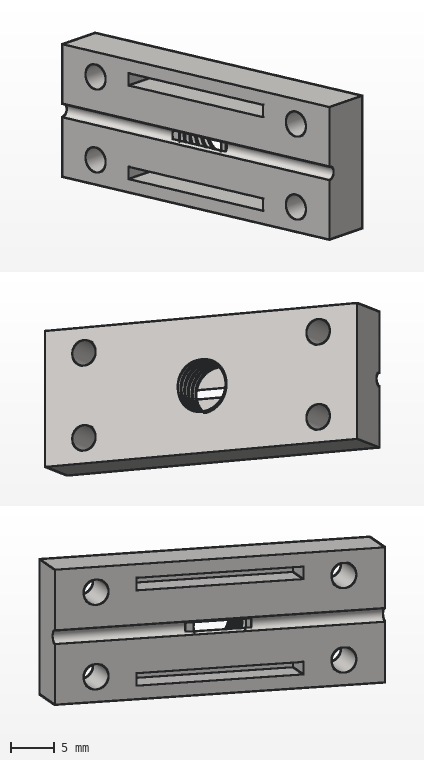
import cadquery as cq

length = 40.0
thickness = 6.0
height = 16.0
front_y = -thickness / 2
back_y = thickness / 2

hole_diameter = 3.0
hole_spacing_x = 30.0
hole_spacing_z = 10.0

slot_length = 20.15
slot_width = 1.5
slot_depth = 4.0
slot_center_z = 5.65

channel_radius = 0.8

land_diameter = 8.0
land_y = front_y + 0.6

minor_diameter = 6.0
major_diameter = 6.7
pitch = 1.0
thread_mouth = 0.7
overlap = 0.05


def cylinder_along_y(diameter, start_y, end_y):
    """Round bar on the Y axis between two Y positions."""
    return cq.Workplane("XZ", origin=(0, start_y, 0)).circle(diameter / 2).extrude(start_y - end_y)


def make_block():
    """Plain block with its four through holes and two blind slots."""
    block = cq.Workplane("XY").box(length, thickness, height)
    block = (
        block.faces("<Y").workplane(origin=(0, front_y, 0))
        .rect(hole_spacing_x, hole_spacing_z, forConstruction=True)
        .vertices()
        .hole(hole_diameter)
    )
    for side in (-1, 1):
        slot = (
            cq.Workplane("XY")
            .box(slot_length, slot_depth, slot_width)
            .translate((0, front_y + slot_depth / 2, side * slot_center_z))
        )
        block = block.cut(slot)
    return block


def make_channel():
    """Full-length half-round channel, with the circular land left standing in it."""
    channel = (
        cq.Workplane("YZ", origin=(-length / 2, front_y, 0))
        .circle(channel_radius)
        .extrude(length)
    )
    return channel.cut(cylinder_along_y(land_diameter, land_y, back_y))


def make_thread():
    """V groove of the bore, its root meeting the land on the +X side."""
    turns_outside = 1
    inner_radius = minor_diameter / 2 - overlap
    thread_depth = (major_diameter - minor_diameter) / 2
    half_width = thread_mouth / 2 * (1 + overlap / thread_depth)
    run_length = back_y - land_y + 2 * turns_outside * pitch
    helix = cq.Wire.makeHelix(pitch, run_length, minor_diameter / 2)
    groove = (
        cq.Workplane("XZ")
        .polyline([
            (inner_radius, -half_width),
            (major_diameter / 2, 0),
            (inner_radius, half_width),
        ])
        .close()
        .sweep(cq.Workplane(helix), isFrenet=True)
        .rotate((0, 0, 0), (1, 0, 0), -90)
        .translate((0, land_y - turns_outside * pitch, 0))
    )
    threaded_zone = cq.Workplane("XZ", origin=(0, land_y, 0)).rect(height, height).extrude(land_y - back_y)
    return groove.intersect(threaded_zone)


seam_angle = 47
bore = cylinder_along_y(minor_diameter, land_y, back_y).rotate((0, 0, 0), (0, 1, 0), seam_angle)
result = make_block().cut(make_channel()).cut(bore).cut(make_thread())